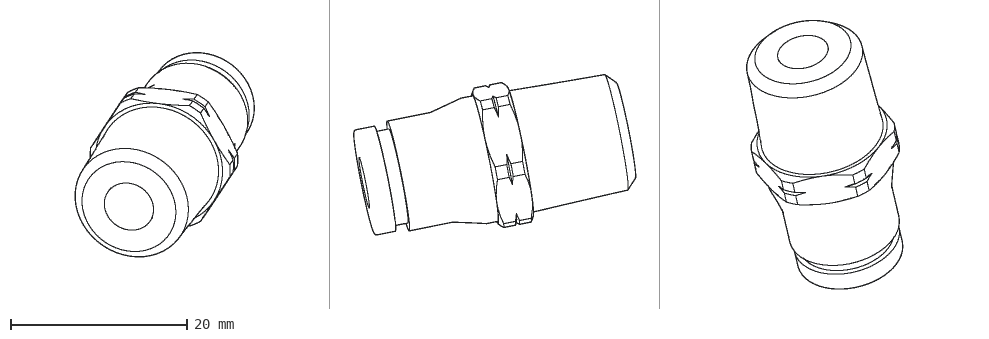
import cadquery as cq
import math

length = 30.3
bore_radius = 2.9

nose_radius = 5.55
nose_chamfer_length = 1.12
thread_tip_radius = 6.7
thread_split_y = 5.75
thread_split_radius = 6.82
thread_root_radius = 7.03

hex_start_y = 12.25
hex_width = 4.05
hex_across_flats = 15.0
hex_corner_diameter = 16.5
hex_chamfer_angle = 30.0
groove_depth = 0.42
groove_width = 0.48

shoulder_radius = 7.27
shoulder_end_y = 17.6
socket_radius = 6.35
socket_start_y = 21.33
socket_end_y = 26.35

neck_radius = 5.45
collar_radius = 6.1
collar_width = 2.4
collar_fillet = 0.3

hex_end_y = hex_start_y + hex_width
collar_start_y = length - collar_width


def revolve_profile(points):
    """Turn a closed (radius, Y) outline about the Y axis."""
    return cq.Workplane("XY").polyline(points).close().revolve(360, (0, 0, 0), (0, 1, 0))


def make_thread_end():
    return revolve_profile([
        (0, 0),
        (nose_radius, 0),
        (thread_tip_radius, nose_chamfer_length),
        (thread_split_radius, thread_split_y),
        (thread_root_radius, hex_start_y),
        (0, hex_start_y),
    ])


def make_hexagon():
    """Hexagonal prism trimmed by a chamfered disc with a V groove around its rim."""
    prism = (
        cq.Workplane("XZ", origin=(0, hex_end_y, 0))
        .polygon(6, hex_across_flats / math.cos(math.pi / 6))
        .extrude(hex_width)
    )
    rim_radius = hex_corner_diameter / 2
    face_radius = hex_across_flats / 2
    chamfer_length = (rim_radius - face_radius) * math.tan(math.radians(hex_chamfer_angle))
    groove_y = hex_start_y + hex_width / 2
    trimming_disc = revolve_profile([
        (0, hex_start_y),
        (face_radius, hex_start_y),
        (rim_radius, hex_start_y + chamfer_length),
        (rim_radius, groove_y - groove_width / 2),
        (rim_radius - groove_depth, groove_y),
        (rim_radius, groove_y + groove_width / 2),
        (rim_radius, hex_end_y - chamfer_length),
        (face_radius, hex_end_y),
        (0, hex_end_y),
    ])
    return prism.intersect(trimming_disc)


def make_socket():
    return revolve_profile([
        (0, hex_end_y),
        (shoulder_radius, hex_end_y),
        (shoulder_radius, shoulder_end_y),
        (socket_radius, socket_start_y),
        (socket_radius, socket_end_y),
        (neck_radius, socket_end_y),
        (neck_radius, collar_start_y),
        (0, collar_start_y),
    ])


def make_collar():
    collar = cq.Workplane("XZ", origin=(0, length, 0)).circle(collar_radius).extrude(collar_width)
    return collar.faces(">Y").edges().fillet(collar_fillet)


def make_bore():
    return cq.Workplane("XZ", origin=(0, length, 0)).circle(bore_radius).extrude(length)


result = (
    make_thread_end()
    .union(make_hexagon())
    .union(make_socket())
    .union(make_collar())
    .cut(make_bore())
)